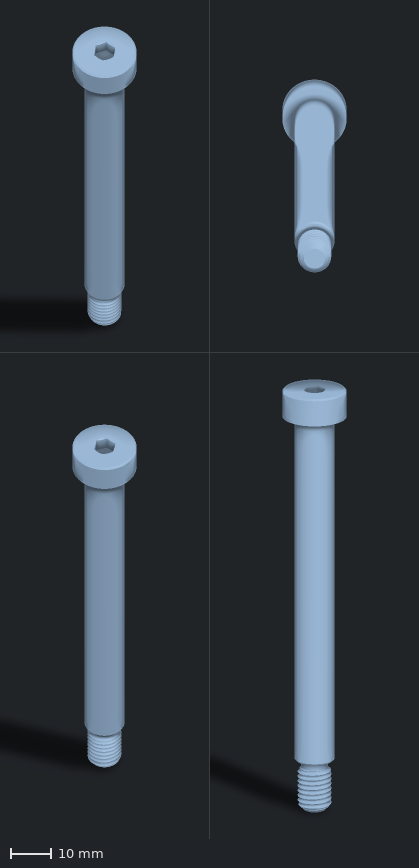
import cadquery as cq
import math

total_length = 110.2

head_diameter = 16.0
head_height = 7.0
head_chamfer = 0.4

socket_across_flats = 5.0
socket_across_corners = socket_across_flats / math.cos(math.radians(30))
socket_depth = 3.3
socket_rim_chamfer_angle = 30.0

shoulder_diameter = 10.0
shoulder_bottom = 13.0
shoulder_chamfer = 0.4

core_radius = 3.3
thread_radius = 4.2
thread_pitch = 1.25
thread_top = 11.2
tip_radius = 2.6
ridge_root_width = 1.2
ridge_crest_width = 0.15
ridge_embed = 0.1
crest_height_at_x = 7.4
turns_below_crest = 7
turns_total = 11


def make_screw():
    """Revolved head, shoulder and core, with the hexagon socket cut in the top."""
    head_radius = head_diameter / 2
    shoulder_radius = shoulder_diameter / 2
    head_bottom = total_length - head_height
    blank = (
        cq.Workplane("XZ")
        .polyline([
            (0, 0),
            (tip_radius, 0),
            (core_radius, core_radius - tip_radius),
            (core_radius, shoulder_bottom),
            (shoulder_radius - shoulder_chamfer, shoulder_bottom),
            (shoulder_radius, shoulder_bottom + shoulder_chamfer),
            (shoulder_radius, head_bottom),
            (head_radius, head_bottom),
            (head_radius, total_length - head_chamfer),
            (head_radius - head_chamfer, total_length),
            (0, total_length),
        ])
        .close()
        .revolve(360, (0, 0), (0, 1))
    )
    return blank.cut(make_socket())


def make_socket():
    """Hexagonal pocket with flats facing +X and -X, and a conical rim out to its corners."""
    hexagon = (
        cq.Workplane("XY", origin=(0, 0, total_length))
        .transformed(rotate=(0, 0, 30))
        .polygon(6, socket_across_corners)
        .extrude(-socket_depth)
    )
    rim_radius = socket_across_corners / 2
    cone_depth = rim_radius * math.tan(math.radians(socket_rim_chamfer_angle))
    rim_cone = (
        cq.Workplane("XZ")
        .polyline([(0, total_length), (rim_radius, total_length), (0, total_length - cone_depth)])
        .close()
        .revolve(360, (0, 0), (0, 1))
    )
    return hexagon.union(rim_cone)


def make_thread():
    """Right-hand helical ridge, trimmed to the core and to 45 degree cones at both ends."""
    start = crest_height_at_x - turns_below_crest * thread_pitch
    inner_radius = core_radius - ridge_embed
    helix = cq.Wire.makeHelix(thread_pitch, turns_total * thread_pitch, core_radius)
    half_root = ridge_root_width / 2
    half_crest = ridge_crest_width / 2
    ridge = (
        cq.Workplane("XZ")
        .polyline([
            (inner_radius, -half_root),
            (core_radius, -half_root),
            (thread_radius, -half_crest),
            (thread_radius, half_crest),
            (core_radius, half_root),
            (inner_radius, half_root),
        ])
        .close()
        .sweep(cq.Workplane(helix), isFrenet=True)
        .translate((0, 0, start))
    )
    outer_radius = thread_radius + ridge_embed
    sleeve = (
        cq.Workplane("XZ")
        .polyline([
            (core_radius, core_radius - tip_radius),
            (outer_radius, outer_radius - tip_radius),
            (outer_radius, thread_top - (outer_radius - core_radius)),
            (core_radius, thread_top),
        ])
        .close()
        .revolve(360, (0, 0), (0, 1))
    )
    return sleeve.intersect(ridge)


screw = make_screw()
thread = make_thread()

result = cq.Compound.makeCompound([screw.val(), *thread.solids().vals()])